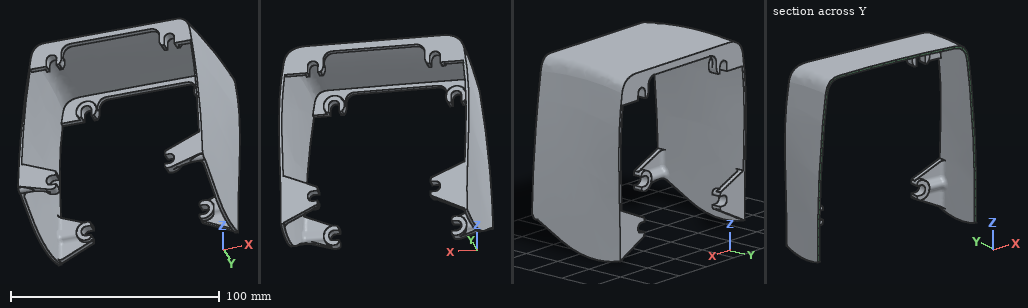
import cadquery as cq
import math

DEPTH = 55.0
HALF_DEPTH = DEPTH / 2
WALL = 1.5
CROWN_Z = 96.22
CROWN_Y = 3.0

BASE_Z = -4.0
MIDDLE_Z = 45.0
UPPER_Z = 72.0
TOP_HALF_WIDTH = 33.5
FRONT_SECTION = dict(
    y=-HALF_DEPTH, base_x=47.24, middle_x=45.5, upper_x=42.6, shoulder=(40.65, 85.5),
    top_edge_z=93.1, top_z=93.15, wall=1.15, upper_wall=0.7,
)
CROWN_SECTION = dict(
    y=CROWN_Y, base_x=46.6, middle_x=46.2, upper_x=44.3, shoulder=(42.5, 87.7),
    top_edge_z=95.7, top_z=CROWN_Z, wall=WALL, upper_wall=WALL,
)
BACK_SECTION = dict(
    y=HALF_DEPTH, base_x=46.0, middle_x=46.6, upper_x=46.05, shoulder=(44.3, 86.0),
    top_edge_z=93.75, top_z=93.8, wall=WALL, upper_wall=WALL,
)
SECTIONS = (FRONT_SECTION, CROWN_SECTION, BACK_SECTION)

LOW_POINT_Y = 13.5
LOWER_EDGE_RADIUS = 47.7
LOWER_SLOPE = math.radians(26.8)
TRIM_MARGIN = 10.0

ROD_X = 30.0
LOWER_ROD_Z = 15.35
UPPER_ROD_Z = 83.0
BORE_RADIUS = 2.55
RING_RADIUS = 5.1
PLATE = 2.7
CLIP_DEPTH = 5.0
LOWER_LIP = 2.3
UPPER_LIP = 3.3

FLANGE_EDGE_Z = 90.0
FLANGE_FILLET = 4.5

BRACKET_OUTER_X = 52.0
BRACKET_WALL_X = 47.0
BRACKET_TOP_Z = 28.2
FRONT_BRACKET_BOTTOM_Z = 15.3
BACK_BRACKET_BOTTOM_Z = 1.3
RIB_RADIUS = CLIP_DEPTH - PLATE
RIB_FILLET = 3.0
ROOT_FILLET = 2.0
LIP_FILLET = 1.6

ROOT_TOLERANCE = 0.1
ROOT_MIN_X = 43.0
ROOT_MAX_DRIFT = 1.5
ROOT_MIN_LENGTH = 0.5


def section_wire(section, hollow):
    """Closed outline of the hood at one Y, either its outer skin or the hollow inside its wall."""
    wall = section["wall"] if hollow else 0
    upper_wall = section["upper_wall"] if hollow else 0
    y = section["y"]
    shoulder_x, shoulder_z = section["shoulder"]
    side = [
        (section["base_x"] - wall, BASE_Z),
        (section["middle_x"] - wall, MIDDLE_Z),
        (section["upper_x"] - upper_wall, UPPER_Z),
        (shoulder_x - upper_wall, shoulder_z),
    ]
    roof = WALL if hollow else 0
    edge_z = section["top_edge_z"] - roof
    right_side = cq.Edge.makeSpline([cq.Vector(x, y, z) for x, z in side])
    left_side = cq.Edge.makeSpline([cq.Vector(-x, y, z) for x, z in reversed(side)])
    top = cq.Edge.makeThreePointArc(
        cq.Vector(TOP_HALF_WIDTH, y, edge_z),
        cq.Vector(0, y, section["top_z"] - roof),
        cq.Vector(-TOP_HALF_WIDTH, y, edge_z),
    )
    right_corner = smooth_link(right_side, top)
    left_corner = smooth_link(top, left_side)
    bottom = cq.Edge.makeLine(left_side.endPoint(), right_side.startPoint())
    return cq.Wire.assembleEdges([right_side, right_corner, top, left_corner, left_side, bottom])


def smooth_link(first, second):
    """Curve from the end of one edge to the start of the next, tangent to both."""
    return cq.Edge.makeSpline(
        [first.endPoint(), second.startPoint()], tangents=[first.tangentAt(1), second.tangentAt(0)]
    )


def hood_body(hollow):
    """Solid bounded by the outer skin of the hood, or by the hollow inside its wall."""
    wires = [section_wire(section, hollow) for section in SECTIONS]
    return cq.Workplane(obj=cq.Solid.makeLoft(wires))


def extrude_y(outline, y_start, thickness):
    """Extrude a closed XZ polygon along +Y."""
    plane = cq.Workplane("XZ", origin=(0, y_start, 0))
    return plane.polyline(outline).close().extrude(-thickness)


def rod_cylinder(x, z, radius, y_start, length):
    """Cylinder along +Y about a rod axis."""
    return cq.Workplane("XZ", origin=(x, y_start, z)).circle(radius).extrude(-length)


def box(x_range, y_range, z_range):
    """Block given by its (low, high) limits along each axis."""
    sizes = [high - low for low, high in (x_range, y_range, z_range)]
    corner = (x_range[0], y_range[0], z_range[0])
    return cq.Workplane("XY").box(*sizes, centered=False).translate(corner)


def lower_edge_trim():
    """Space above the lower edge of the side walls."""
    tangent_y = LOW_POINT_Y - LOWER_EDGE_RADIUS * math.sin(LOWER_SLOPE)
    tangent_z = LOWER_EDGE_RADIUS * (1 - math.cos(LOWER_SLOPE))
    front_y = -HALF_DEPTH - TRIM_MARGIN
    front_z = tangent_z + (tangent_y - front_y) * math.tan(LOWER_SLOPE)
    back_y = HALF_DEPTH + TRIM_MARGIN
    back_z = LOWER_EDGE_RADIUS - math.sqrt(LOWER_EDGE_RADIUS**2 - (back_y - LOW_POINT_Y) ** 2)
    top_z = CROWN_Z + TRIM_MARGIN
    return (
        cq.Workplane("YZ")
        .moveTo(front_y, top_z)
        .lineTo(front_y, front_z)
        .lineTo(tangent_y, tangent_z)
        .threePointArc((LOW_POINT_Y, 0), (back_y, back_z))
        .lineTo(back_y, top_z)
        .close()
        .extrude(2 * BRACKET_OUTER_X, both=True)
    )


def tangent_point(start_x, start_z, side):
    """Point where a line from the start touches the lower ring, above (+1) or below (-1) it."""
    distance = math.hypot(ROD_X - start_x, LOWER_ROD_Z - start_z)
    toward_start = math.atan2(start_z - LOWER_ROD_Z, start_x - ROD_X)
    angle = toward_start + side * math.acos(RING_RADIUS / distance)
    return ROD_X + RING_RADIUS * math.cos(angle), LOWER_ROD_Z + RING_RADIUS * math.sin(angle)


def lower_bracket(bottom_z):
    """Lower clip on the +X side at the front end, with its plate, ring and stiffening rib."""
    front = -HALF_DEPTH
    top_touch = tangent_point(BRACKET_WALL_X, BRACKET_TOP_Z, 1)
    bottom_touch = tangent_point(BRACKET_WALL_X, bottom_z, -1)
    outline = [
        (ROD_X, LOWER_ROD_Z),
        top_touch,
        (BRACKET_WALL_X, BRACKET_TOP_Z),
        (BRACKET_OUTER_X, BRACKET_TOP_Z),
        (BRACKET_OUTER_X, bottom_z),
        (BRACKET_WALL_X, bottom_z),
        bottom_touch,
    ]
    plate = extrude_y(outline, front, PLATE)
    rib = (
        cq.Workplane("YZ", origin=(ROD_X, front + PLATE, LOWER_ROD_Z))
        .circle(RIB_RADIUS)
        .extrude(BRACKET_OUTER_X - ROD_X)
        .intersect(box((0, BRACKET_OUTER_X), (front, 0), (0, CROWN_Z)))
    )
    bracket = plate.union(rib)
    rib_roots = cq.selectors.BoxSelector(
        (ROD_X + RING_RADIUS, front + PLATE - ROOT_TOLERANCE, LOWER_ROD_Z - RIB_RADIUS - ROOT_TOLERANCE),
        (BRACKET_OUTER_X, front + PLATE + ROOT_TOLERANCE, LOWER_ROD_Z + RIB_RADIUS + ROOT_TOLERANCE),
    )
    bracket = bracket.edges("|X").edges(rib_roots).fillet(RIB_FILLET)
    past_lip = box((0, ROD_X - LOWER_LIP), (front, front + CLIP_DEPTH), (0, CROWN_Z))
    ring = rod_cylinder(ROD_X, LOWER_ROD_Z, RING_RADIUS, front, CLIP_DEPTH).cut(past_lip)
    ring = ring.edges("|Y and <X").fillet(LIP_FILLET)
    mouth = box(
        (0, ROD_X),
        (front, front + CLIP_DEPTH),
        (LOWER_ROD_Z - BORE_RADIUS, LOWER_ROD_Z + BORE_RADIUS),
    )
    bore = rod_cylinder(ROD_X, LOWER_ROD_Z, BORE_RADIUS, front, CLIP_DEPTH)
    return bracket.union(ring).cut(bore).cut(mouth)


def upper_flange():
    """Flange under the top at the front end, with a downward clip near each side wall."""
    front = -HALF_DEPTH
    lip_z = UPPER_ROD_Z - UPPER_LIP
    clip_inner_x = ROD_X - RING_RADIUS
    plate = box((-BRACKET_OUTER_X, BRACKET_OUTER_X), (front, front + PLATE), (lip_z, CROWN_Z))
    window = box((-clip_inner_x, clip_inner_x), (front, front + PLATE), (0, FLANGE_EDGE_Z))
    flange = plate.cut(window.edges("|Y and >Z").fillet(FLANGE_FILLET))
    for x in (-ROD_X, ROD_X):
        inner = math.copysign(clip_inner_x, x)
        below_rod = box(sorted((inner, x)), (front, front + PLATE), (lip_z, UPPER_ROD_Z))
        ring = rod_cylinder(x, UPPER_ROD_Z, RING_RADIUS, front, CLIP_DEPTH)
        past_lip = box((x - RING_RADIUS, x + RING_RADIUS), (front, front + CLIP_DEPTH), (0, lip_z))
        bore = rod_cylinder(x, UPPER_ROD_Z, BORE_RADIUS, front, CLIP_DEPTH)
        mouth = box((x - BORE_RADIUS, x + BORE_RADIUS), (front, front + CLIP_DEPTH), (0, UPPER_ROD_Z))
        flange = flange.cut(below_rod).union(ring).cut(past_lip).cut(bore).cut(mouth)
    return flange


def fillet_bracket_roots(part):
    """Round the inner corners where the lower brackets and their ribs meet the side walls."""
    roots = []
    inside_end = HALF_DEPTH - PLATE
    for edge in part.edges().vals():
        center = edge.Center()
        bounds = edge.BoundingBox()
        on_bracket = inside_end - RIB_RADIUS < abs(center.y) < inside_end + ROOT_TOLERANCE
        along_wall = abs(center.x) > ROOT_MIN_X and bounds.xlen < ROOT_MAX_DRIFT
        if on_bracket and along_wall and center.z < BRACKET_TOP_Z and edge.Length() > ROOT_MIN_LENGTH:
            roots.append(edge)
    return part.newObject(roots).fillet(ROOT_FILLET)


outer = hood_body(hollow=False)
full_shell = outer.cut(hood_body(hollow=True))

front_bracket = lower_bracket(FRONT_BRACKET_BOTTOM_Z)
back_bracket = lower_bracket(BACK_BRACKET_BOTTOM_Z).mirror("XZ")
front_flange = upper_flange()
brackets = []
for right_bracket in (front_bracket, back_bracket):
    for bracket in (right_bracket, right_bracket.mirror("YZ")):
        brackets.append(bracket.intersect(outer))

body = full_shell
for bracket in brackets:
    body = body.union(bracket)
result = fillet_bracket_roots(body).intersect(lower_edge_trim())
for fitting in brackets + [front_flange, front_flange.mirror("XZ")]:
    result = result.union(fitting.intersect(outer))